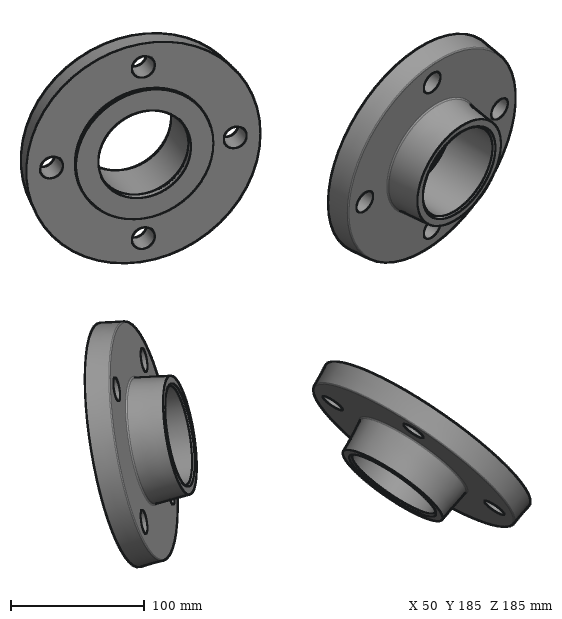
import cadquery as cq
import math

total_length = 50.0
raised_face_height = 3.0
flange_thickness = 19.0
seat_depth = 44.0
mouth_chamfer = 1.57

flange_diameter = 185.0
raised_face_diameter = 108.5
hub_end_diameter = 90.0
bore_diameter = 73.0
seat_diameter = 75.0

draft_angle = 6.0
root_radius = 1.1
rim_radius = 1.0

bolt_hole_diameter = 18.0
bolt_circle_diameter = 145.0
bolt_hole_count = 4

flange_front = total_length - raised_face_height
flange_back = flange_front - flange_thickness
draft_slope = math.tan(math.radians(draft_angle))


def revolve_about_x(points):
    """Turn a closed outline of (x, radius) points around the X axis."""
    return cq.Workplane("XY").polyline(points).close().revolve(360, (0, 0, 0), (1, 0, 0))


def flange_disc():
    """Tapered disc with its back rim rounded, and the raised sealing face in front."""
    front_radius = flange_diameter / 2
    back_radius = front_radius - flange_thickness * draft_slope
    disc = revolve_about_x([
        (flange_back, 0),
        (flange_back, back_radius),
        (flange_front, front_radius),
        (flange_front, 0),
    ])
    disc = disc.faces("<X").edges().fillet(rim_radius)
    raised_face = (
        cq.Workplane("YZ", origin=(flange_front, 0, 0))
        .circle(raised_face_diameter / 2)
        .extrude(raised_face_height)
    )
    return disc.union(raised_face)


def add_hub(disc):
    """Tapered hub behind the disc, with a small fillet at its root."""
    end_radius = hub_end_diameter / 2
    root_end_radius = end_radius + flange_back * draft_slope
    hub = revolve_about_x([
        (0, 0),
        (0, end_radius),
        (flange_back, root_end_radius),
        (flange_back, 0),
    ])
    back_circles = cq.selectors.BoxSelector(
        (flange_back - root_radius, -root_radius, -root_radius),
        (flange_back + root_radius, root_radius, root_radius),
    )
    smallest = cq.selectors.RadiusNthSelector(0)
    return disc.union(hub).edges(back_circles).edges(smallest).fillet(root_radius)


def stepped_bore():
    """Through bore with a slightly wider seat and a chamfered mouth at the hub end."""
    bore_radius = bore_diameter / 2
    seat_radius = seat_diameter / 2
    return revolve_about_x([
        (0, 0),
        (0, seat_radius + mouth_chamfer),
        (mouth_chamfer, seat_radius),
        (seat_depth, seat_radius),
        (seat_depth, bore_radius),
        (total_length, bore_radius),
        (total_length, 0),
    ])


def bolt_holes():
    """Ring of plain holes through the flange disc."""
    return (
        cq.Workplane("YZ", origin=(flange_back, 0, 0))
        .polarArray(bolt_circle_diameter / 2, 0, 360, bolt_hole_count)
        .circle(bolt_hole_diameter / 2)
        .extrude(flange_thickness)
    )


result = add_hub(flange_disc()).cut(stepped_bore()).cut(bolt_holes())